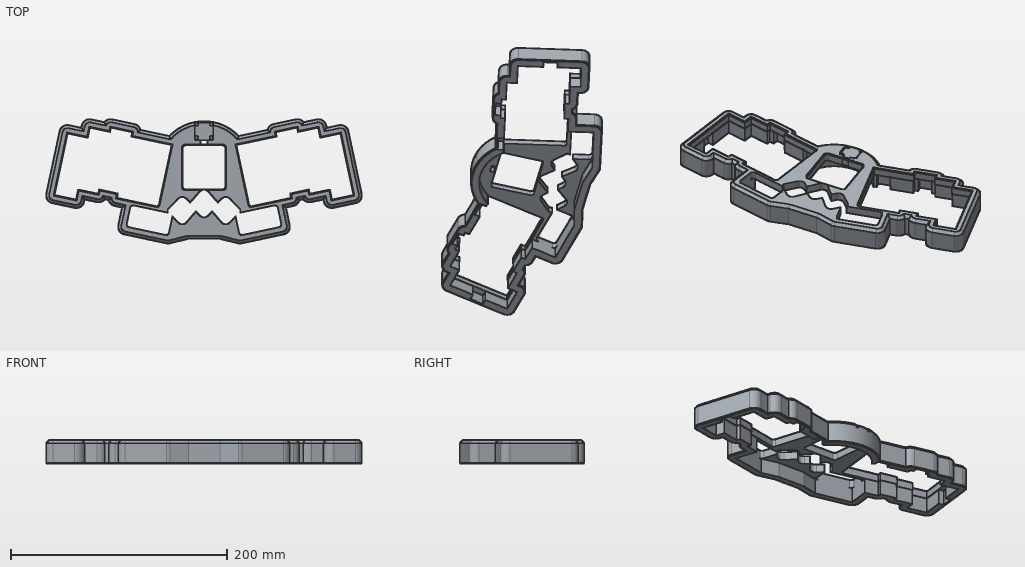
import cadquery as cq
import math

total_length = 292
total_height = 22.2
plate_thickness = 8.0
cavity_height = total_height - plate_thickness

wall = 7.5
top_chamfer = 3.0
bottom_chamfer = 1.0
rim_chamfer = 1.0

wing_angle = 12
wing_cosine = math.cos(math.radians(wing_angle))
wing_sine = math.sin(math.radians(wing_angle))
key_pitch = 19.0
keys_per_column = 3
key_clearance = 0.5
undercut = 0.3
field_bottom = -31.0
raised_column = 4.0
column_shifts = [0, 0, raised_column, 0, -key_pitch / 2]
field_top = field_bottom + keys_per_column * key_pitch
field_corner_radius = 2.0

hollow_margin = key_clearance + undercut
last_corner_v = field_bottom + column_shifts[-1] - hollow_margin
last_corner_u = (total_length / 2 - wall + last_corner_v * wing_sine) / wing_cosine
field_right = last_corner_u - hollow_margin
field_left = field_right - len(column_shifts) * key_pitch

notch_length = 12.9
notch_depth = 5.3
inner_notch_inset = 2.0
raised_notch_inset = 2.5
end_notch_top = -6.0

pocket_left = 22.0
pocket_right = 61.5
pocket_bottom = -55.8
pocket_top = -35.3
pocket_radius = 3.0

cheek_x = 33.3
chin_x = 15.5
chin_y = -45.5

dome_center_y = 11.7
dome_radius = 44.0
window_width = 39.5
window_bottom = -7.3
window_top = 33.3
window_radius = 2.5

recess_width = 17.2
recess_bottom = 38.0
recess_top = 54.3
recess_depth = 2.0
recess_radius = 1.8
pin_diameter = 3.2
pin_depth = 4.0
pin_spacing_x = 13.7
pin_spacing_y = 12.5
pin_center_y = 46.7
slot_width = 6.0

hollow_radius = 5.3
upper_peak_y = -5.0
upper_tip = (12.9, -19.5)
upper_hollow = (20.2, -12.3)
mouth_corner = (33.3, -25.7)
mouth_end_y = -30.7
lower_end = (31.0, mouth_end_y)
lower_hollow = (20.0, -42.0)
lower_tip = (7.5, -27.8)
lower_middle_y = -35.3


def box(x_min, x_max, y_min, y_max, z_min, z_max):
    size = (x_max - x_min, y_max - y_min, z_max - z_min)
    return cq.Workplane("XY").box(*size, centered=False).translate((x_min, y_min, z_min))


def prism(points, z_min, z_max):
    return cq.Workplane("XY").workplane(offset=z_min).polyline(points).close().extrude(z_max - z_min)


def turned(u, v):
    """Point (u, v) of the right wing's frame, in the part's frame."""
    return (u * wing_cosine - v * wing_sine, u * wing_sine + v * wing_cosine)


def both_sides(right_body):
    """A body of the right wing's frame turned into place and mirrored to the left."""
    right = right_body.rotate((0, 0, 0), (0, 0, 1), wing_angle)
    return right.union(right.mirror("YZ"))


def grown_prism(points, growth, height):
    """Prism on an outline grown outwards by `growth`, with round corners."""
    outline = cq.Workplane("XY").polyline(points).close()
    if growth > 0:
        outline = outline.offset2D(growth, "arc")
    return outline.extrude(height)


def key_field(clearance, growth, height):
    """Union of the key columns, in the right wing's frame."""
    field = cq.Workplane("XY")
    for index, shift in enumerate(column_shifts):
        left = field_left + index * key_pitch - clearance
        right = left + key_pitch + 2 * clearance
        bottom = field_bottom + shift - clearance
        top = bottom + keys_per_column * key_pitch + 2 * clearance
        corners = [(left, bottom), (right, bottom), (right, top), (left, top)]
        field = field.union(grown_prism(corners, growth, height))
    return field


def jaw_points():
    """Outline of the hollow between the wings, from chin to brow."""
    chin = (chin_x, chin_y)
    cheek = (cheek_x, (pocket_bottom + cheek_x * wing_sine) / wing_cosine)
    corner = turned(pocket_right, pocket_bottom)
    shoulder = turned(pocket_right, field_bottom)
    brow = turned(field_left, field_top)
    right = [chin, cheek, corner, shoulder, brow]
    left = [(-x, y) for x, y in reversed(right)]
    return right + left


def case_body(growth, height):
    """Key fields, jaw and dome as one block, grown outwards by `growth`."""
    fields = both_sides(key_field(hollow_margin, growth, height))
    jaw = grown_prism(jaw_points(), growth, height)
    dome = cq.Workplane("XY").center(0, dome_center_y).circle(dome_radius - wall + growth).extrude(height)
    return fields.union(jaw).union(dome).clean()


def shell():
    block = case_body(wall, total_height)
    block = block.faces(">Z").edges().chamfer(top_chamfer)
    block = block.faces("<Z").edges().chamfer(bottom_chamfer)
    return block.cut(case_body(0, cavity_height))


def flare(opening):
    """The opening with its top rim widened by a bevel."""
    rim = cq.Workplane("XY").workplane(offset=total_height).add(opening.faces(">Z").wires()).toPending()
    bevel = rim.offset2D(rim_chamfer, "intersection").extrude(-rim_chamfer, taper=45)
    return opening.union(bevel)


def key_openings():
    opening = key_field(key_clearance, 0, total_height)
    opening = opening.edges("|Z and <X").edges("<Y").fillet(field_corner_radius)
    return both_sides(flare(opening))


def window():
    opening = box(-window_width / 2, window_width / 2, window_bottom, window_top, cavity_height, total_height)
    return flare(opening.edges("|Z").fillet(window_radius))


def pockets():
    pocket = box(pocket_left, pocket_right, pocket_bottom, pocket_top, cavity_height, total_height)
    return both_sides(pocket.edges("|Z").fillet(pocket_radius))


def mouth():
    mouth_end = (mouth_corner[0], mouth_end_y)
    right = [upper_tip, upper_hollow, mouth_corner, mouth_end, lower_end, lower_hollow, lower_tip]
    left = [(-x, y) for x, y in reversed(right)]
    outline = [(0, upper_peak_y)] + right + [(0, lower_middle_y)] + left
    body = prism(outline, cavity_height, total_height)
    middle_z = cavity_height + plate_thickness / 2
    hollows = [(0, upper_peak_y), (0, lower_middle_y)]
    for side in (-1, 1):
        hollows += [(side * x, y) for x, y in (upper_hollow, lower_hollow)]
    for x, y in hollows:
        edge = cq.selectors.NearestToPointSelector((x, y, middle_z))
        body = body.edges("|Z").edges(edge).fillet(hollow_radius)
    return body


def module_recess():
    half = recess_width / 2
    floor = total_height - recess_depth
    recess = box(-half, half, recess_bottom, recess_top, floor, total_height)
    recess = recess.edges("|Z and <Y").fillet(recess_radius)
    slot_start = window_top + rim_chamfer
    slot = box(-slot_width / 2, slot_width / 2, slot_start, recess_bottom, cavity_height, total_height)
    pins = cq.Workplane("XY").workplane(offset=total_height - pin_depth).center(0, pin_center_y)
    pins = pins.rarray(pin_spacing_x, pin_spacing_y, 2, 2).circle(pin_diameter / 2).extrude(pin_depth)
    return recess.union(slot).union(pins)


def wall_notches():
    """Two notches in the far wall of each wing and one in its end wall."""
    top_notch_starts = [
        (field_left + inner_notch_inset, field_top),
        (field_left + 2 * key_pitch + raised_notch_inset, field_top + raised_column),
    ]
    end_wall = field_right + hollow_margin
    end_notch_bottom = end_notch_top - notch_length
    notches = box(field_right, end_wall + notch_depth, end_notch_bottom, end_notch_top, 0, cavity_height)
    for start, edge in top_notch_starts:
        reach = edge + hollow_margin + notch_depth
        notches = notches.union(box(start, start + notch_length, edge, reach, 0, cavity_height))
    return both_sides(notches)


result = shell()
for cutter in (key_openings(), window(), pockets(), mouth(), module_recess(), wall_notches()):
    result = result.cut(cutter)